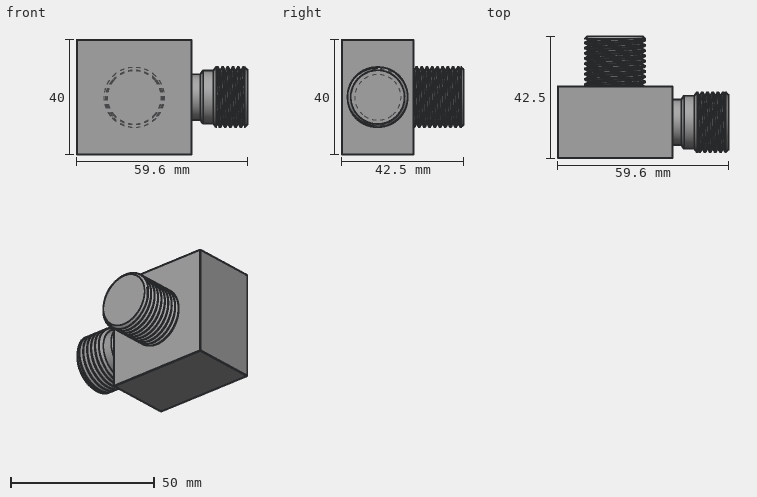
import cadquery as cq
import math

overall_length = 59.6
overall_depth = 42.5

block_side = 40.0
block_depth = 25.05
block_chamfer = 0.2

major_radius = 10.5
groove_depth = 1.2
root_radius = major_radius - groove_depth
five_pitches = 9.05
pitch = five_pitches / 5
flat_width = pitch / 6
overcut = 0.2

side_length = overall_length - block_side
neck_radius = 8.0
neck_length = 3.05
collar_start = 4.0
collar_end = 7.55
side_thread_start = 8.5
side_lead_chamfer = 1.15
side_groove_position = 9.0

back_length = overall_depth - block_depth
back_lead_chamfer = 0.95
back_groove_position = 0.6

embed = 1.8


def turned(outline):
    """Solid of revolution about Z from (radius, height) points, closed along the axis."""
    closed = [(0, outline[0][1])] + outline + [(0, outline[-1][1])]
    return cq.Workplane("XZ").polyline(closed).close().revolve(360, (0, 0), (0, 1))


def groove_cutter(start, turns):
    """Helical V groove around Z, beginning on the +X side at the given height."""
    path = cq.Wire.makeHelix(pitch, turns * pitch, major_radius)
    root_half = flat_width / 2
    flank_slope = (pitch / 2 - flat_width) / groove_depth
    mouth_half = root_half + flank_slope * (groove_depth + overcut)
    mouth_radius = major_radius + overcut
    profile = cq.Workplane("XZ").polyline([
        (root_radius, -root_half),
        (mouth_radius, -mouth_half),
        (mouth_radius, mouth_half),
        (root_radius, root_half),
    ]).close()
    return profile.sweep(path, isFrenet=True).translate((0, 0, start))


def rod(radius, start, end):
    """Plain cylinder around Z between two heights."""
    return cq.Workplane("XY").workplane(offset=start).circle(radius).extrude(end - start)


def threaded_rod(start, end, groove_position):
    """Rod along Z threaded over its whole length; a groove crosses +X at groove_position."""
    turns_below = math.ceil((groove_position - start) / pitch) + 1
    turns_above = math.ceil((end - groove_position) / pitch) + 1
    groove_start = groove_position - turns_below * pitch
    groove_end = groove_position + turns_above * pitch
    blank = rod(major_radius, groove_start - pitch, groove_end + pitch)
    threaded = blank.cut(groove_cutter(groove_start, turns_below + turns_above))
    return threaded.intersect(rod(2 * major_radius, start, end))


def lead_chamfer(end, size):
    """Conical tip that ends a spigot at the given height."""
    return turned([(major_radius, end - size), (major_radius - size, end)])


def make_block():
    return cq.Workplane("XY").box(block_side, block_depth, block_side).edges().chamfer(block_chamfer)


def make_side_spigot():
    shank = turned([
        (neck_radius, -embed),
        (neck_radius, neck_length),
        (root_radius, collar_start),
        (root_radius, collar_end),
        (major_radius, side_thread_start),
    ])
    thread = threaded_rod(side_thread_start, side_length - side_lead_chamfer, side_groove_position)
    spigot = shank.union(thread).union(lead_chamfer(side_length, side_lead_chamfer))
    return spigot.rotate((0, 0, 0), (0, 1, 0), 90).translate((block_side / 2, 0, 0))


def make_back_spigot():
    thread = threaded_rod(-embed, back_length - back_lead_chamfer, back_groove_position)
    spigot = thread.union(lead_chamfer(back_length, back_lead_chamfer))
    return spigot.rotate((0, 0, 0), (1, 0, 0), -90).translate((0, block_depth / 2, 0))


result = make_block().union(make_side_spigot()).union(make_back_spigot())